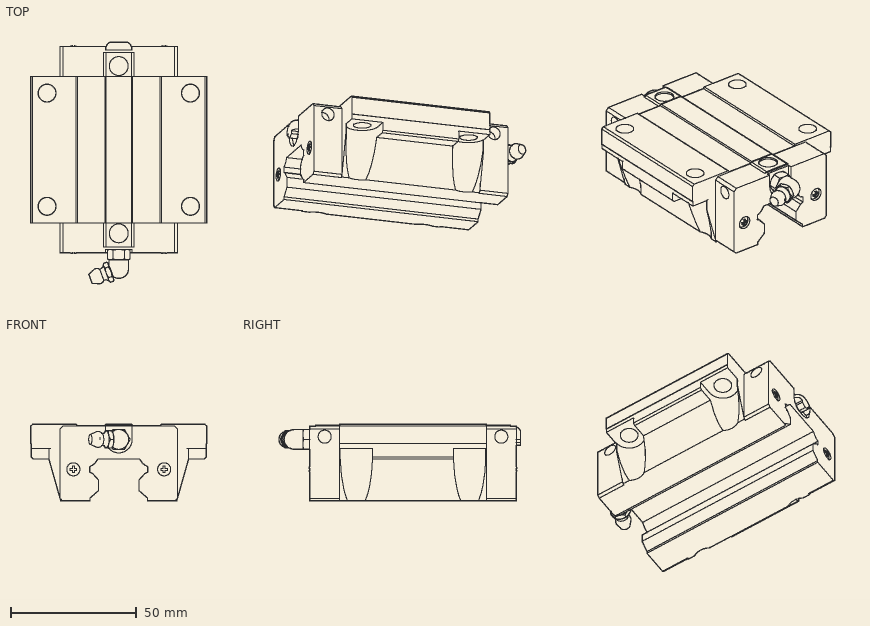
import cadquery as cq
import math


height = 30.5
flange_width = 70.0
block_length = 58.3
cap_length = 9.55
seal_length = 2.35
block_end = block_length / 2
cap_end = block_end + cap_length
seal_end = cap_end + seal_length

flange_bottom = 16.6
flange_step_z = 22.7
flange_step = 0.15
flange_chamfer = 0.8
skirt_top_half = 27.8
skirt_bottom_half = 23.1
top_recess_half = 16.9
top_recess_floor = 29.9
top_recess_slope = 0.45
block_rib_half = 5.1
block_rib_slope = 0.3

channel_mouth_half = 11.35
mouth_top = 1.1
channel_throat_half = 7.95
throat_bottom = 4.1
throat_top = 8.2
undercut_slope_half = 10.3
undercut_slope_z = 10.8
channel_undercut_half = 11.45
undercut_bottom = 11.4
undercut_top = 13.6
shoulder_bend_half = 10.3
shoulder_bend_z = 14.2
shoulder_half = 9.3
shoulder_z = 15.1
channel_roof_half = 8.3

mount_pitch_x = 57.0
mount_pitch_y = 45.0
mount_diameter = 7.0
relief_radius = 6.45
relief_ceiling = 20.7

end_width = 46.8
end_height = 29.7
end_top_chamfer = 1.2
end_bottom_chamfer = 1.0
cap_rib_top = 30.2
cap_rib_half = 5.1
cap_rib_slope = 0.9
cap_rib_root = 1.0
top_port_diameter = 7.5
top_port_y = 33.25
top_port_depth = 0.7
side_port_diameter = 5.2
side_port_y = 35.1
side_port_z = 25.5
side_port_depth = 6.0

seal_recess_depth = 1.4
recess_floor_y = seal_end - seal_recess_depth
fitting_z = 24.4
fitting_recess_radius = 5.35
screw_x = 18.05
screw_z = 12.5
screw_bore_radius = 2.6
screw_proud = 0.35
cross_length = 2.6
cross_width = 0.75
cross_depth = 1.0
plug_radius = 5.1
plug_face_radius = 3.15
plug_rim = 0.7
plug_proud = 1.75
plug_hex_corner_radius = 2.4

nipple_hex_flats = 7.9
nipple_hex_end = 43.75
hex_bevel = 0.35
nipple_radius = 3.95
elbow_y = -47.25
spout_angle = 20.0
nut_flats = 7.0
nut_start = 3.3
nut_end = 5.3
collar_end_radius = 3.3
collar_mid = 6.05
collar_mid_radius = 2.65
neck_distance = 7.2
neck_radius = 2.4
ridge_mid = 8.2
ridge_mid_radius = 3.1
ridge_end = 9.1
ridge_radius = 3.15
tip_end = 12.0
tip_radius = 1.95


def along_y(profile, start, end):
    """Extrude a closed (x, z) wire profile from Y = start to Y = end."""
    return profile.extrude(start - end).translate((0, start, 0))


def symmetric_outline(right_half):
    """Closed XZ outline from its right half, mirrored across X = 0."""
    left_half = [(-x, z) for x, z in reversed(right_half)]
    return cq.Workplane("XZ").polyline(right_half + left_half).close()


def rail_channel():
    """Rail-shaped channel through the full length."""
    right_half = [
        (channel_mouth_half, 0),
        (channel_mouth_half, mouth_top),
        (channel_throat_half, throat_bottom),
        (channel_throat_half, throat_top),
        (undercut_slope_half, undercut_slope_z),
        (channel_undercut_half, undercut_bottom),
        (channel_undercut_half, undercut_top),
        (shoulder_bend_half, shoulder_bend_z),
        (shoulder_half, shoulder_z),
        (channel_roof_half, flange_bottom),
    ]
    return along_y(symmetric_outline(right_half), -seal_end, seal_end)


def bolt_relief(side_x, side_y):
    """Bolt-head clearance under the flange: round inside, open to the side and to the block end."""
    hole_x = mount_pitch_x / 2
    hole_y = mount_pitch_y / 2
    outer_x = flange_width / 2
    inner_y = hole_y - relief_radius
    web_y = hole_y + math.sqrt(relief_radius**2 - (hole_x - skirt_top_half) ** 2)
    relief = (
        cq.Workplane("XY")
        .moveTo(outer_x, inner_y)
        .lineTo(hole_x, inner_y)
        .tangentArcPoint((hole_x - relief_radius, hole_y), relative=False)
        .tangentArcPoint((skirt_top_half, web_y), relative=False)
        .lineTo(skirt_top_half, block_end)
        .lineTo(outer_x, block_end)
        .close()
        .extrude(relief_ceiling)
    )
    if side_x < 0:
        relief = relief.mirror("YZ")
    if side_y < 0:
        relief = relief.mirror("XZ")
    return relief


def steel_block():
    outer = flange_width / 2
    lower_outer = outer - flange_step
    right_half = [
        (skirt_bottom_half, 0),
        (skirt_top_half, flange_bottom),
        (lower_outer - flange_chamfer, flange_bottom),
        (lower_outer, flange_bottom + flange_chamfer),
        (lower_outer, flange_step_z),
        (outer, flange_step_z),
        (outer, height - flange_chamfer),
        (outer - flange_chamfer, height),
        (top_recess_half, height),
        (top_recess_half - top_recess_slope, top_recess_floor),
        (block_rib_half + block_rib_slope, top_recess_floor),
        (block_rib_half, height),
    ]
    block = along_y(symmetric_outline(right_half), -block_end, block_end)
    mounting_holes = (
        cq.Workplane("XY")
        .rect(mount_pitch_x, mount_pitch_y, forConstruction=True)
        .vertices()
        .circle(mount_diameter / 2)
        .extrude(height)
    )
    block = block.cut(mounting_holes)
    for side_x in (-1, 1):
        for side_y in (-1, 1):
            block = block.cut(bolt_relief(side_x, side_y), clean=False)
    return block


def end_section(start, end):
    """Slice of the end outline shared by the caps and the seals."""
    half = end_width / 2
    right_half = [
        (half - end_bottom_chamfer, 0),
        (half, end_bottom_chamfer),
        (half, end_height - end_top_chamfer),
        (half - end_top_chamfer, end_height),
    ]
    return along_y(symmetric_outline(right_half), start, end)


def end_cap():
    """Rear end cap, with its centre rib and grease ports."""
    rib = along_y(
        symmetric_outline([
            (cap_rib_half + cap_rib_slope, end_height - cap_rib_root),
            (cap_rib_half + cap_rib_slope, end_height),
            (cap_rib_half, cap_rib_top),
        ]),
        block_end,
        cap_end,
    )
    top_port = (
        cq.Workplane("XY", origin=(0, top_port_y, cap_rib_top - top_port_depth))
        .circle(top_port_diameter / 2)
        .extrude(top_port_depth)
    )
    cap = end_section(block_end, cap_end).union(rib).cut(top_port)
    for side in (-1, 1):
        side_port = (
            cq.Workplane("YZ", origin=(side * end_width / 2, side_port_y, side_port_z))
            .circle(side_port_diameter / 2)
            .extrude(-side * side_port_depth)
        )
        cap = cap.cut(side_port)
    return cap


def seal_screw():
    """Domed cross-recess screw head on the Y axis, filling its bore at the recess floor."""
    face_y = seal_end + screw_proud
    rise = face_y - recess_floor_y
    dome_radius = (screw_bore_radius**2 + rise**2) / (2 * rise)
    mid_angle = math.asin(screw_bore_radius / dome_radius) / 2
    arc_mid = (
        dome_radius * math.sin(mid_angle),
        face_y - dome_radius * (1 - math.cos(mid_angle)),
    )
    head = (
        cq.Workplane("XY")
        .moveTo(0, recess_floor_y)
        .lineTo(screw_bore_radius, recess_floor_y)
        .threePointArc(arc_mid, (0, face_y))
        .close()
        .revolve(360, (0, 0, 0), (0, 1, 0))
    )
    for length_x, length_z in ((cross_length, cross_width), (cross_width, cross_length)):
        slot = cq.Workplane("XY").box(length_x, 2 * cross_depth, length_z).translate((0, face_y, 0))
        head = head.cut(slot)
    return head


def end_seal():
    """Rear end seal, with the fitting recess and its two screws."""
    seal = end_section(cap_end, seal_end)
    fitting_recess = (
        cq.Workplane("XZ", origin=(0, seal_end, 0))
        .moveTo(-fitting_recess_radius, height)
        .lineTo(-fitting_recess_radius, fitting_z)
        .threePointArc((0, fitting_z - fitting_recess_radius), (fitting_recess_radius, fitting_z))
        .lineTo(fitting_recess_radius, height)
        .close()
        .extrude(seal_recess_depth)
    )
    seal = seal.cut(fitting_recess)
    for side in (-1, 1):
        bore = (
            cq.Workplane("XZ", origin=(side * screw_x, seal_end, screw_z))
            .circle(screw_bore_radius)
            .extrude(seal_recess_depth)
        )
        seal = seal.cut(bore).union(seal_screw().translate((side * screw_x, 0, screw_z)))
    return seal


def rear_plug():
    """Plug in the rear fitting recess: half dome above its axis, hexagonal key below."""
    face_y = seal_end + plug_proud
    half_dome = (
        cq.Workplane("XY")
        .moveTo(0, recess_floor_y)
        .lineTo(plug_radius, recess_floor_y)
        .lineTo(plug_radius, recess_floor_y + plug_rim)
        .tangentArcPoint((plug_face_radius, face_y), relative=False)
        .lineTo(0, face_y)
        .close()
        .revolve(180, (0, 0, 0), (0, -1, 0))
    )
    key = along_y(
        cq.Workplane("XZ").polygon(6, 2 * plug_hex_corner_radius), recess_floor_y, face_y
    ).rotate((0, 0, 0), (0, 1, 0), 90)
    return half_dome.union(key).translate((0, 0, fitting_z))


def make_carriage():
    carriage = steel_block()
    for part in (end_cap(), end_seal()):
        carriage = carriage.union(part, clean=False).union(part.mirror("XZ"), clean=False)
    return carriage.cut(rail_channel(), clean=False).union(rear_plug(), clean=False)


def bevelled_hexagon(flats, start, end):
    """Hexagonal prism along +X, flats facing up and down, its corners turned off at both ends."""
    corner_radius = flats / math.sqrt(3)
    prism = (
        cq.Workplane("YZ", origin=(start, 0, 0))
        .polygon(6, 2 * corner_radius)
        .extrude(end - start)
    )
    turned = (
        cq.Workplane("XY")
        .polyline([
            (start, 0),
            (start, flats / 2),
            (start + hex_bevel, corner_radius),
            (end - hex_bevel, corner_radius),
            (end, flats / 2),
            (end, 0),
        ])
        .close()
        .revolve(360, (0, 0, 0), (1, 0, 0))
    )
    return prism.intersect(turned)


def nipple_spout():
    """Nut and grease spout along +X from the elbow centre."""
    nut = bevelled_hexagon(nut_flats, nut_start, nut_end)
    spout = (
        cq.Workplane("XY")
        .moveTo(0, 0)
        .lineTo(0, neck_radius)
        .lineTo(nut_end, neck_radius)
        .lineTo(nut_end, collar_end_radius)
        .threePointArc((collar_mid, collar_mid_radius), (neck_distance, neck_radius))
        .threePointArc((ridge_mid, ridge_mid_radius), (ridge_end, ridge_radius))
        .lineTo(tip_end, tip_radius)
        .lineTo(tip_end, 0)
        .close()
        .revolve(360, (0, 0, 0), (1, 0, 0))
    )
    return nut.union(spout)


def make_grease_nipple():
    base = bevelled_hexagon(nipple_hex_flats, recess_floor_y, nipple_hex_end)
    base = base.rotate((0, 0, 0), (0, 0, 1), -90)
    neck = along_y(cq.Workplane("XZ").circle(nipple_radius), elbow_y, -nipple_hex_end)
    ball = cq.Workplane("XY").sphere(nipple_radius).translate((0, elbow_y, 0))
    spout = (
        nipple_spout()
        .rotate((0, 0, 0), (0, 0, 1), 180 + spout_angle)
        .translate((0, elbow_y, 0))
    )
    nipple = base.union(neck).union(ball).union(spout)
    return nipple.translate((0, 0, fitting_z))


carriage = make_carriage()
grease_nipple = make_grease_nipple()
result = cq.Compound.makeCompound([carriage.solids().val(), grease_nipple.solids().val()])